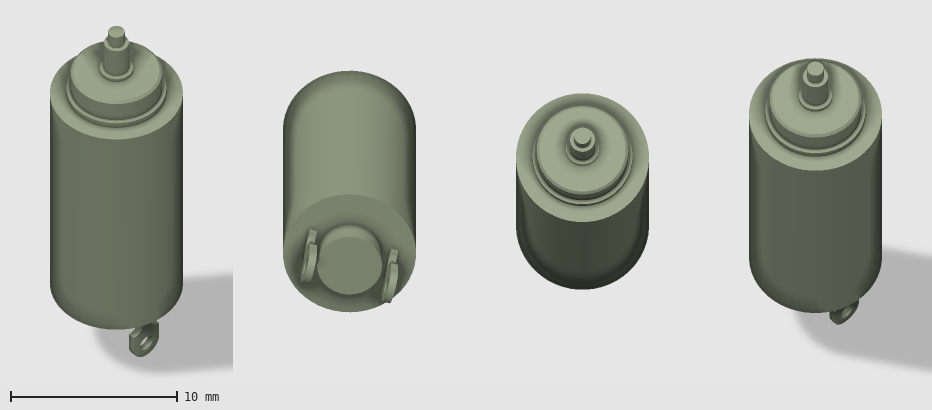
import cadquery as cq

body_diameter = 8.0
body_length = 16.0

flange_diameter = 6.0
flange_height = 0.4
cap_diameter = 5.5
cap_top = 1.9
cap_chamfer = 0.15
collar_diameter = 2.0
collar_top = 2.15
shaft_diameter = 1.5
shaft_top = 4.25
tip_diameter = 1.0
tip_top = 5.15

boss_diameter = 3.9
boss_height = 1.6

lug_thickness = 0.45
lug_outer_offset = cap_diameter / 2
lug_length = 4.0
lug_half_width = 1.0
lug_eye_diameter = 1.0
lug_eye_z = -(lug_length - lug_half_width)
waist_half_width = 0.25
waist_z = -1.2
notch_radius = lug_half_width - waist_half_width


def cylinder(diameter, bottom, top):
    """Upright cylinder on the Z axis between two heights."""
    return cq.Workplane("XY").workplane(offset=bottom).circle(diameter / 2).extrude(top - bottom)


def make_nose():
    """Flange, chamfered cap, collar and stepped shaft stacked on the body."""
    base = body_length
    flange = cylinder(flange_diameter, base, base + flange_height)
    cap = cylinder(cap_diameter, base, base + cap_top).faces(">Z").chamfer(cap_chamfer)
    collar = cylinder(collar_diameter, base, base + collar_top)
    shaft = cylinder(shaft_diameter, base, base + shaft_top)
    tip = cylinder(tip_diameter, base, base + tip_top)
    return flange.union(cap).union(collar).union(shaft).union(tip)


def make_lug(inner_x):
    """Flat lug with a round end, an eye and a half-round notch in each edge, leaving a narrow waist."""
    plane = cq.Workplane("YZ").workplane(offset=inner_x)
    plate = (
        plane.moveTo(-lug_half_width, 0)
        .lineTo(-lug_half_width, lug_eye_z)
        .threePointArc((0, -lug_length), (lug_half_width, lug_eye_z))
        .lineTo(lug_half_width, 0)
        .close()
        .extrude(lug_thickness)
    )
    notches = (
        plane.pushPoints([(-lug_half_width, waist_z), (lug_half_width, waist_z)])
        .circle(notch_radius)
        .extrude(lug_thickness)
    )
    eye = plane.center(0, lug_eye_z).circle(lug_eye_diameter / 2).extrude(lug_thickness)
    return plate.cut(notches).cut(eye)


body = cylinder(body_diameter, 0, body_length)
boss = cylinder(boss_diameter, -boss_height, 0)
result = body.union(make_nose()).union(boss)
for lug_start_x in (-lug_outer_offset, lug_outer_offset - lug_thickness):
    result = result.union(make_lug(lug_start_x))